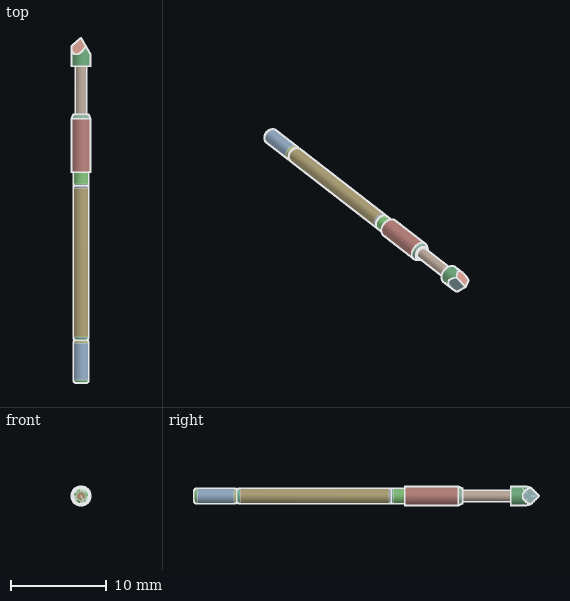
import cadquery as cq
import math

total_length = 36.0
head_diameter = 2.0
head_length = 3.0
face_angle = 30.0

stem_diameter = 1.22
stem_length = 5.0

collar_diameter = head_diameter
collar_length = 6.0
collar_chamfer_length = 0.45
collar_chamfer_depth = 0.2

barrel_diameter = 1.65
end_round = 0.35

crimp_grooves = [
    (15.45, 0.45, 0.15),
    (31.5, 0.65, 0.18),
]

tip_y = total_length / 2
end_y = -tip_y
head_back_y = tip_y - head_length
collar_front_y = head_back_y - stem_length
collar_back_y = collar_front_y - collar_length


def cylinder(diameter, back_y, front_y):
    """Cylinder about the Y axis between two stations."""
    back = cq.Workplane("XZ", origin=(0, back_y, 0))
    return back.circle(diameter / 2).extrude(back_y - front_y)


def make_head():
    """Cylinder cut to a three-sided point, with one face towards +X."""
    inscribed_radius = head_length * math.tan(math.radians(face_angle))
    base = cq.Workplane("XZ", origin=(0, head_back_y, 0)).transformed(rotate=(0, 0, 180))
    triangle_diameter = 4 * inscribed_radius
    pyramid = base.polygon(3, triangle_diameter).extrude(-head_length, taper=face_angle)
    return cylinder(head_diameter, head_back_y, tip_y).intersect(pyramid)


def make_collar():
    """Press-fit collar with a tapered front edge."""
    collar = cylinder(collar_diameter, collar_back_y, collar_front_y)
    return collar.faces(">Y").chamfer(collar_chamfer_length, collar_chamfer_depth)


def make_crimp_groove(centre_y, width, depth):
    """Ring whose two convex lips leave the barrel tangentially and meet at the groove bottom."""
    radius = barrel_diameter / 2
    half_width = width / 2
    lip_radius = (half_width**2 + depth**2) / (2 * depth)
    half_sweep = math.asin(half_width / lip_radius) / 2
    lip_middle_x = radius - lip_radius * (1 - math.cos(half_sweep))
    lip_middle_offset = half_width - lip_radius * math.sin(half_sweep)
    return (
        cq.Workplane("XY")
        .moveTo(radius, centre_y - half_width)
        .threePointArc((lip_middle_x, centre_y - lip_middle_offset), (radius - depth, centre_y))
        .threePointArc((lip_middle_x, centre_y + lip_middle_offset), (radius, centre_y + half_width))
        .close()
        .revolve(360, (0, 0, 0), (0, 1, 0))
    )


def make_barrel():
    """Barrel with a rounded rear end and rolled crimp grooves."""
    barrel = cylinder(barrel_diameter, end_y, collar_back_y)
    barrel = barrel.faces("<Y").edges().fillet(end_round)
    for distance, width, depth in crimp_grooves:
        barrel = barrel.cut(make_crimp_groove(tip_y - distance, width, depth))
    return barrel


stem = cylinder(stem_diameter, collar_front_y, head_back_y)
result = make_head().union(stem).union(make_collar()).union(make_barrel())